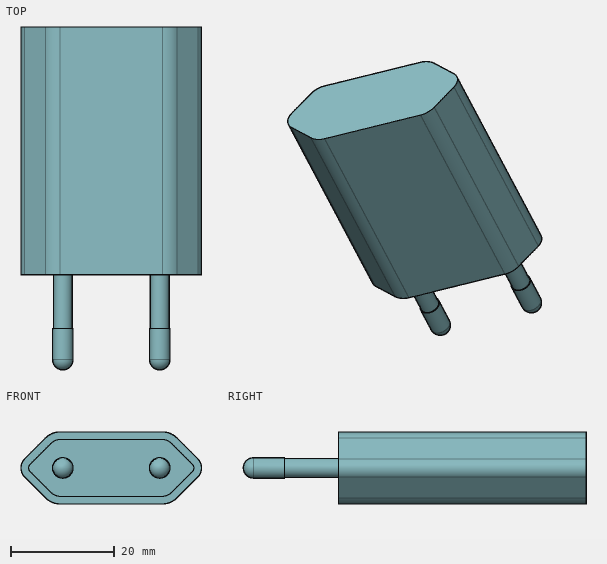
import cadquery as cq
import math

housing_length = 48.0
housing_height = 14.0
housing_width = 34.98
flank_angle = 45.0
shoulder_radius = 4.0
nose_radius = 2.5

rim_thickness = 1.5
recess_depth = 0.1

pin_spacing = 18.75
neck_diameter = 3.7
tip_diameter = 4.0
pin_reach = 18.4
tip_length = 8.0


def rounded_hexagon(height, width, shoulder, nose, length):
    """Hexagonal bar along +Y from Y = 0; width is measured between the rounded noses."""
    tilt = math.radians(flank_angle)
    nose_cut = nose * (1 / math.sin(tilt) - 1)
    point_x = width / 2 + nose_cut
    top_z = height / 2
    shoulder_x = point_x - top_z / math.tan(tilt)
    corners = [
        (shoulder_x, top_z),
        (point_x, 0),
        (shoulder_x, -top_z),
        (-shoulder_x, -top_z),
        (-point_x, 0),
        (-shoulder_x, top_z),
    ]
    bar = cq.Workplane("XZ").polyline(corners).close().extrude(-length)
    bar = bar.edges("|Y").edges(">X or <X").fillet(nose)
    return bar.edges("|Y").edges(">Z or <Z").fillet(shoulder)


def make_housing():
    bar = rounded_hexagon(housing_height, housing_width, shoulder_radius, nose_radius, housing_length)
    recess = rounded_hexagon(
        housing_height - 2 * rim_thickness,
        housing_width - 2 * rim_thickness,
        shoulder_radius - rim_thickness,
        nose_radius - rim_thickness,
        recess_depth,
    )
    return bar.cut(recess)


def make_pin(x):
    """Pin standing on the recess floor at the given X; its half profile is turned about its axis."""
    neck_radius = neck_diameter / 2
    tip_radius = tip_diameter / 2
    step_y = -(pin_reach - tip_length)
    ball_y = -(pin_reach - tip_radius)
    ball_middle = (tip_radius * math.sqrt(0.5), ball_y - tip_radius * math.sqrt(0.5))
    return (
        cq.Workplane("XY")
        .moveTo(0, recess_depth)
        .lineTo(neck_radius, recess_depth)
        .lineTo(neck_radius, step_y)
        .lineTo(tip_radius, step_y)
        .lineTo(tip_radius, ball_y)
        .threePointArc(ball_middle, (0, -pin_reach))
        .close()
        .revolve(360, (0, 0, 0), (0, 1, 0))
        .translate((x, 0, 0))
    )


housing = make_housing()
pins = [make_pin(side * pin_spacing / 2) for side in (-1, 1)]

result = cq.Compound.makeCompound([housing.val(), *[pin.val() for pin in pins]])